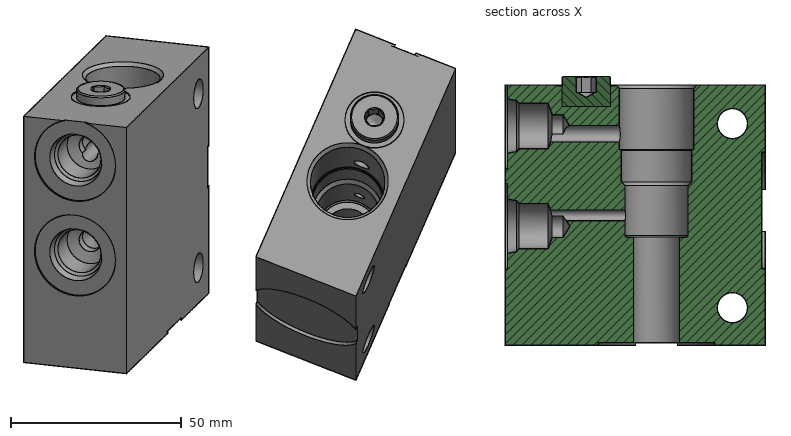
import cadquery as cq
import math

BLOCK_WIDTH = 31.7
BLOCK_LENGTH = 76.2
BLOCK_HEIGHT = 76.2
OVERALL_HEIGHT = 78.7
FRONT_Y = -BLOCK_LENGTH / 2
BACK_Y = BLOCK_LENGTH / 2

DRILL_TIP_SLOPE = math.tan(math.radians(31))

CAVITY_Y = BACK_Y - 31.9
CAVITY_MOUTH_DIAMETER = 23.8
CAVITY_UPPER_DIAMETER = 21.7
CAVITY_LEDGE_DIAMETER = 21.2
CAVITY_MIDDLE_DIAMETER = 20.6
CAVITY_LOWER_DIAMETER = 18.4
CAVITY_SEAT_DIAMETER = 17.5
CAVITY_BORE_DIAMETER = 13.4
CAVITY_UPPER_DEPTH = 18.9
CAVITY_MIDDLE_DEPTH = 28.3
CAVITY_LOWER_DEPTH = 44.1

PORT_SPOTFACE_DIAMETER = 24.95
PORT_SPOTFACE_DEPTH = 0.7
PORT_MOUTH_DIAMETER = 16.0
PORT_SEAT_DIAMETER = 14.9
PORT_THREAD_DIAMETER = 13.2
PORT_SEAT_DEPTH = 3.4
PORT_LEAD_IN_LENGTH = 0.7
PORT_THREAD_DEPTH = 12.6
PORT_FLOOR_SLOPE = math.tan(math.radians(20))
PORT_PILOT_DIAMETER = 6.6
PORT_PILOT_LENGTH = 3.15
UPPER_PORT_Z = 64.15
LOWER_PORT_Z = 34.9

UPPER_PASSAGE_DIAMETER = 4.7
UPPER_PASSAGE_DROP = 2.2
LOWER_PASSAGE_DIAMETER = 3.1
LOWER_PASSAGE_RISE = 3.15

WIDE_SPOTFACE_DIAMETER = 34.0
BACK_SPOTFACE_DEPTH = 1.0
BACK_SPOTFACE_Z = 39.4
BOTTOM_SPOTFACE_DEPTH = 0.7

MOUNT_HOLE_DIAMETER = 8.7
MOUNT_HOLE_Y = BACK_Y - 9.7
MOUNT_HOLE_HEIGHTS = (11.0, 64.85)

PLUG_Y = BACK_Y - 52.4
PLUG_DIAMETER = 14.2
PLUG_CHAMFER = 0.4
PLUG_INSERTION = 6.3
PLUG_SPOTFACE_DIAMETER = 17.2
PLUG_SPOTFACE_DEPTH = 0.3
SOCKET_ACROSS_FLATS = 5.0
SOCKET_MOUTH_DIAMETER = 5.8
SOCKET_DEPTH = 4.7


def revolved(half_profile):
    """Turn a (radius, height) outline about the Z axis, closing it along the axis."""
    return cq.Workplane("XZ").polyline(half_profile).close().revolve(360, (0, 0), (0, 1))


def cylinder(diameter, height):
    return cq.Workplane("XY").circle(diameter / 2).extrude(height)


def facing_front(tool):
    """Turn a tool whose depth runs along +Z so that it cuts into the front face along +Y."""
    return tool.rotate((0, 0, 0), (1, 0, 0), -90).translate((0, FRONT_Y, 0))


def valve_cavity():
    mouth = CAVITY_MOUTH_DIAMETER / 2
    upper = CAVITY_UPPER_DIAMETER / 2
    ledge = CAVITY_LEDGE_DIAMETER / 2
    middle = CAVITY_MIDDLE_DIAMETER / 2
    lower = CAVITY_LOWER_DIAMETER / 2
    seat = CAVITY_SEAT_DIAMETER / 2
    bore = CAVITY_BORE_DIAMETER / 2
    upper_floor = BLOCK_HEIGHT - CAVITY_UPPER_DEPTH
    middle_floor = BLOCK_HEIGHT - CAVITY_MIDDLE_DEPTH
    lower_floor = BLOCK_HEIGHT - CAVITY_LOWER_DEPTH
    profile = [
        (0, BLOCK_HEIGHT),
        (mouth, BLOCK_HEIGHT),
        (upper, BLOCK_HEIGHT - (mouth - upper)),
        (upper, upper_floor),
        (ledge, upper_floor),
        (middle, upper_floor - (ledge - middle)),
        (middle, middle_floor),
        (lower, middle_floor - (middle - lower)),
        (lower, lower_floor),
        (seat, lower_floor - (lower - seat)),
        (bore, lower_floor - (lower - seat)),
        (bore, 0),
        (0, 0),
    ]
    return revolved(profile).translate((0, CAVITY_Y, 0))


def front_port(height):
    spotface = PORT_SPOTFACE_DIAMETER / 2
    mouth = PORT_MOUTH_DIAMETER / 2
    seat = PORT_SEAT_DIAMETER / 2
    thread = PORT_THREAD_DIAMETER / 2
    pilot = PORT_PILOT_DIAMETER / 2
    pilot_start = PORT_THREAD_DEPTH + (thread - pilot) * PORT_FLOOR_SLOPE
    pilot_end = pilot_start + PORT_PILOT_LENGTH
    profile = [
        (0, 0),
        (spotface, 0),
        (spotface, PORT_SPOTFACE_DEPTH),
        (mouth, PORT_SPOTFACE_DEPTH),
        (seat, PORT_SEAT_DEPTH),
        (thread, PORT_SEAT_DEPTH + PORT_LEAD_IN_LENGTH),
        (thread, PORT_THREAD_DEPTH),
        (pilot, pilot_start),
        (pilot, pilot_end),
        (0, pilot_end + pilot * DRILL_TIP_SLOPE),
    ]
    return facing_front(revolved(profile)).translate((0, 0, height))


def passage(diameter, height):
    """Bore from the thread of a front port to the axis of the cavity."""
    start = PORT_SEAT_DEPTH
    length = CAVITY_Y - FRONT_Y - start
    return facing_front(cylinder(diameter, length).translate((0, 0, start))).translate((0, 0, height))


def back_spotface():
    disc = cq.Workplane("XZ", origin=(0, BACK_Y, BACK_SPOTFACE_Z))
    return disc.circle(WIDE_SPOTFACE_DIAMETER / 2).extrude(BACK_SPOTFACE_DEPTH)


def bottom_spotface():
    return cylinder(WIDE_SPOTFACE_DIAMETER, BOTTOM_SPOTFACE_DEPTH).translate((0, CAVITY_Y, 0))


def mounting_holes():
    centres = [(MOUNT_HOLE_Y, height) for height in MOUNT_HOLE_HEIGHTS]
    holes = cq.Workplane("YZ", origin=(-BLOCK_WIDTH / 2, 0, 0)).pushPoints(centres)
    return holes.circle(MOUNT_HOLE_DIAMETER / 2).extrude(BLOCK_WIDTH)


def plug_seat():
    spotface = cylinder(PLUG_SPOTFACE_DIAMETER, PLUG_SPOTFACE_DEPTH).translate((0, 0, -PLUG_SPOTFACE_DEPTH))
    hole = cylinder(PLUG_DIAMETER, PLUG_INSERTION).translate((0, 0, -PLUG_INSERTION))
    return spotface.union(hole).translate((0, PLUG_Y, BLOCK_HEIGHT))


def make_block():
    block = cq.Workplane("XY").box(BLOCK_WIDTH, BLOCK_LENGTH, BLOCK_HEIGHT, centered=(True, True, False))
    block = block.cut(valve_cavity())
    for height in (UPPER_PORT_Z, LOWER_PORT_Z):
        block = block.cut(front_port(height))
    block = block.cut(passage(UPPER_PASSAGE_DIAMETER, UPPER_PORT_Z - UPPER_PASSAGE_DROP))
    block = block.cut(passage(LOWER_PASSAGE_DIAMETER, LOWER_PORT_Z + LOWER_PASSAGE_RISE))
    block = block.cut(back_spotface())
    block = block.cut(bottom_spotface())
    block = block.cut(mounting_holes())
    return block.cut(plug_seat())


def hex_socket():
    """Countersunk hexagon with a drilled tip, opening at Z = 0, two corners on the Y axis."""
    inscribed = SOCKET_ACROSS_FLATS / 2
    mouth = SOCKET_MOUTH_DIAMETER / 2
    corner_diameter = SOCKET_ACROSS_FLATS / math.cos(math.pi / 6)
    hexagon = cq.Workplane("XY").polygon(6, corner_diameter)
    drill_profile = [
        (0, 0),
        (mouth, 0),
        (inscribed, -(mouth - inscribed)),
        (inscribed, -SOCKET_DEPTH),
        (0, -SOCKET_DEPTH - inscribed * DRILL_TIP_SLOPE),
    ]
    prism = hexagon.extrude(-SOCKET_DEPTH).rotate((0, 0, 0), (0, 0, 1), 90)
    return prism.union(revolved(drill_profile))


def make_plug():
    base_z = BLOCK_HEIGHT - PLUG_INSERTION
    body = cylinder(PLUG_DIAMETER, OVERALL_HEIGHT - base_z).faces(">Z").chamfer(PLUG_CHAMFER)
    body = body.translate((0, PLUG_Y, base_z))
    return body.cut(hex_socket().translate((0, PLUG_Y, OVERALL_HEIGHT)))


block = make_block()
plug = make_plug()

result = cq.Compound.makeCompound([block.val(), plug.val()])